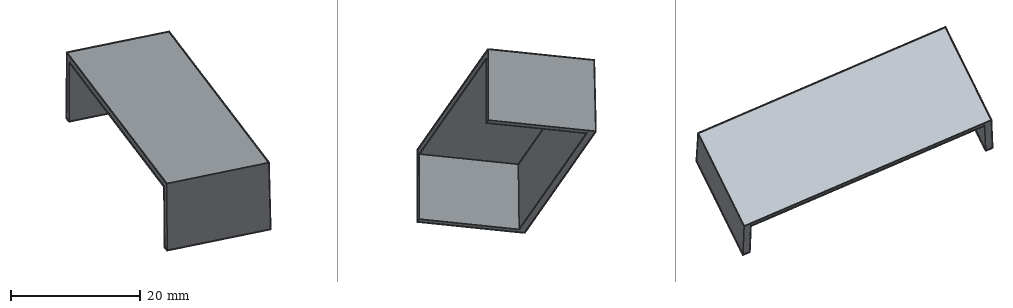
import cadquery as cq
import math

length = 42.5
depth = 17.2
height = 12.0

wall = 1.2
draft_angle = 1.0

front = -depth / 2
back = depth / 2


def tapered_block(base_length, back_y, block_height):
    """Block standing on Z = 0 with an upright front face and drafted ends and back."""
    inset = block_height * math.tan(math.radians(draft_angle))
    base_depth = back_y - front
    return (
        cq.Workplane("XY")
        .center(0, front + base_depth / 2)
        .rect(base_length, base_depth)
        .workplane(offset=block_height)
        .center(0, -inset / 2)
        .rect(base_length - 2 * inset, base_depth - inset)
        .loft(ruled=True)
    )


outer_body = tapered_block(length, back, height)
cavity = tapered_block(length - 2 * wall, back - wall, height - wall)

result = outer_body.cut(cavity)